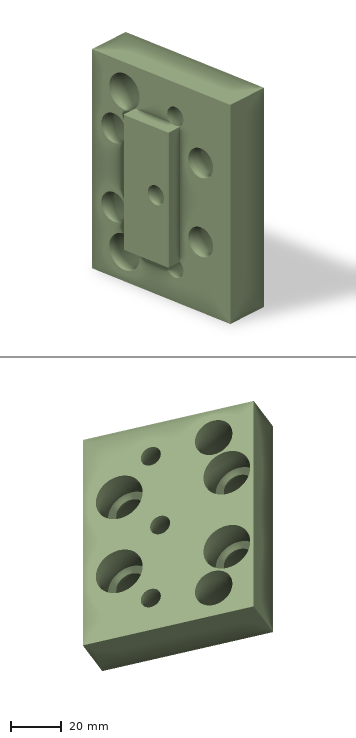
import cadquery as cq
import math

plate_width = 73.0
plate_thickness = 20.0
plate_height = 97

key_width = 24.0
key_height = 59.8
key_depth = 7.0
key_center_x = -1.9
key_edge_chamfer = 0.5

large_diameter = 16.0
large_x = -19.4
large_z = 35.5
medium_diameter = 13.0
medium_left_x = -25.0
medium_spacing_x = 46.0
medium_z = 17.5
counterbore_diameter = 20.0
counterbore_depth = 12.5
small_diameter = 8.5
small_x = 7.5
small_z = 33.5
drill_point_angle = 118
key_hole_x = 3.5


def mirrored_pair(x, z):
    return [(x, z), (x, -z)]


def through_holes(points, diameter):
    """Cylinders along Y that pass through the plate and the key."""
    return (
        cq.Workplane("XZ", origin=(0, plate_thickness, 0))
        .pushPoints(points)
        .circle(diameter / 2)
        .extrude(plate_thickness + key_depth)
    )


def rear_counterbores(points):
    """Wider bores that sink into the plate from its rear face."""
    return (
        cq.Workplane("XZ", origin=(0, plate_thickness, 0))
        .pushPoints(points)
        .circle(counterbore_diameter / 2)
        .extrude(counterbore_depth)
    )


def drill_point(x, z):
    """Cone left by the drill, from the front face of the plate into the key."""
    radius = small_diameter / 2
    length = radius / math.tan(math.radians(drill_point_angle / 2))
    cone = cq.Solid.makeCone(radius, 0, length, cq.Vector(x, 0, z), cq.Vector(0, -1, 0))
    return cq.Workplane(obj=cone)


plate = cq.Workplane("XY").box(
    plate_width, plate_thickness, plate_height, centered=(True, False, True)
)
small_points = mirrored_pair(small_x, small_z)

plate = plate.cut(through_holes(small_points, small_diameter))

key = (
    cq.Workplane("XZ")
    .center(key_center_x, 0)
    .rect(key_width, key_height)
    .extrude(key_depth)
    .faces("<Y")
    .edges("|Z")
    .chamfer(key_edge_chamfer)
)

medium_points = mirrored_pair(medium_left_x, medium_z)
medium_points += mirrored_pair(medium_left_x + medium_spacing_x, medium_z)

result = (
    plate.union(key)
    .cut(through_holes(mirrored_pair(large_x, large_z), large_diameter))
    .cut(through_holes(medium_points, medium_diameter))
    .cut(rear_counterbores(medium_points))
    .cut(through_holes([(key_hole_x, 0)], small_diameter))
)

for x, z in small_points:
    result = result.cut(drill_point(x, z))